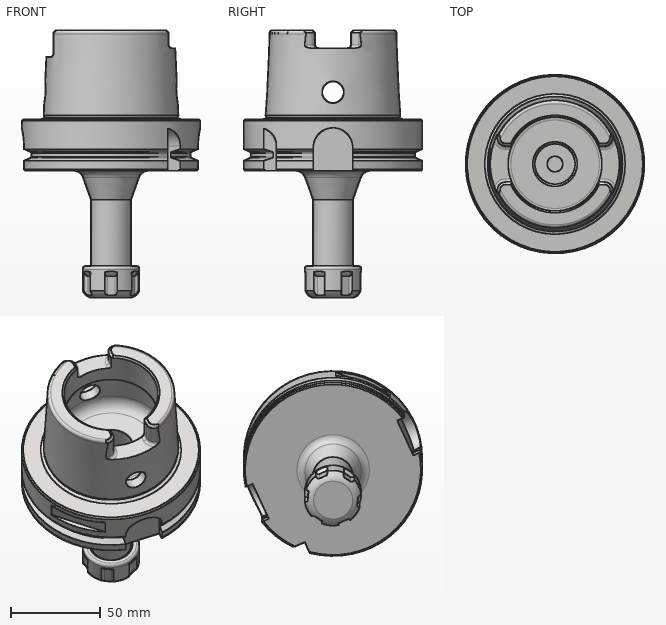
import cadquery as cq
import math


TAPER_TOP_Z = 50.0
OVERALL_LENGTH = 150.0
NOSE_Z = TAPER_TOP_Z - OVERALL_LENGTH

TAPER_SLOPE = 0.047
TAPER_BASE_RADIUS = 37.8
TAPER_BASE_Z = 2.2
TAPER_TOP_RADIUS = TAPER_BASE_RADIUS - TAPER_SLOPE * (TAPER_TOP_Z - TAPER_BASE_Z)
RIM_FILLET_WIDTH = 1.6
RIM_FILLET_HEIGHT = 2.0
UNDERCUT_RADIUS = 37.2
UNDERCUT_Z = 0.8
FOOT_RADIUS = 39.3

MOUTH_RADIUS = 26.2
MOUTH_CHAMFER = 1.0
CLAMP_RADIUS = 31.5
SHOULDER_Z = 30.0
SHOULDER_HEIGHT = (CLAMP_RADIUS - MOUTH_RADIUS) * math.tan(math.radians(30))
CAVITY_FLOOR_Z = 2.7
CAVITY_FILLET = 6.8
SOCKET_RADIUS = 12.5
SOCKET_SEAT_RADIUS = 11.2
SOCKET_DEPTH = 15.0
PILOT_RADIUS = 4.4
PILOT_DEPTH = 30.0

DRIVE_HALF_WIDTH = 10.0
DRIVE_CORNER_RADIUS = 4.5
DRIVE_FLOOR_FILLET = 1.8
DRIVE_EDGE_CHAMFER = 1.5
LUG_FACE_X = 32.2
DEEP_DRIVE_DEPTH = 15.0
SHALLOW_DRIVE_DEPTH = 10.0

CROSS_HOLE_RADIUS = 6.0
CROSS_HOLE_Z = 15.2

FLANGE_RADIUS = 50.02
FLANGE_HEIGHT = 29.0
FLANGE_CHAMFER = 0.9
GROOVE_ROOT_RADIUS = 46.0
GROOVE_ROOT_FILLET = 0.8
GROOVE_MID_Z = -20.0
GROOVE_MOUTH_WIDTH = 6.6
GROOVE_ROOT_WIDTH = 3.0

KEYWAY_HALF_WIDTH = 11.02
KEYWAY_FLOOR_X = 44.4
KEYWAY_TOP_Z = -4.8
NOTCH_FLOOR_X = 31.6
NOTCH_WALL_Y = -31.6
NOTCH_RADIUS = 10.0
CHIP_FLAT_DISTANCE = 47.2
CHIP_FLAT_WIDTH = 32.5
CHIP_FLAT_TOP_Z = -3.9
CHIP_FLAT_HEIGHT = 8.1

NECK_ROOT_RADIUS = 20.2
NECK_FILLET_END_RADIUS = 15.8
NECK_FILLET_HEIGHT = 3.5
SHANK_RADIUS = 11.2
SHANK_TOP_Z = -45.0

NUT_RADIUS = 15.9
NUT_HEIGHT = 18.0
NUT_TOP_FILLET = 1.8
NUT_FACE_RADIUS = 11.0
NUT_ROUND_HEIGHT = 4.0
NUT_ROUND_RADIUS = 7.5
NUT_BORE_CHAMFER = 0.9
NUT_SLOT_COUNT = 6
NUT_SLOT_WIDTH = 7.0
NUT_SLOT_FLOOR_RADIUS = 14.0
NUT_SLOT_FLOOR_FILLET = 1.5
NUT_SLOT_TOP_Z = NOSE_Z + 15.0
NUT_SLOT_RAMP = 2.8

CUT_REACH = 2 * FLANGE_RADIUS


def revolve(profile):
    """Turn a closed (radius, z) profile about the Z axis."""
    return profile.close().revolve(360, (0, 0, 0), (0, 1, 0))


def taper_and_flange():
    rim_end_radius = TAPER_TOP_RADIUS + TAPER_SLOPE * RIM_FILLET_HEIGHT
    bottom_z = -FLANGE_HEIGHT
    land_radius = FLANGE_RADIUS - FLANGE_CHAMFER
    mouth_half = GROOVE_MOUTH_WIDTH / 2
    root_half = GROOVE_ROOT_WIDTH / 2
    turned = revolve(
        cq.Workplane("XZ")
        .moveTo(0, TAPER_TOP_Z)
        .lineTo(TAPER_TOP_RADIUS - RIM_FILLET_WIDTH, TAPER_TOP_Z)
        .tangentArcPoint((rim_end_radius, TAPER_TOP_Z - RIM_FILLET_HEIGHT), relative=False)
        .lineTo(TAPER_BASE_RADIUS, TAPER_BASE_Z)
        .lineTo(UNDERCUT_RADIUS, UNDERCUT_Z)
        .lineTo(FOOT_RADIUS, 0)
        .lineTo(land_radius, 0)
        .lineTo(FLANGE_RADIUS, -FLANGE_CHAMFER)
        .lineTo(FLANGE_RADIUS, GROOVE_MID_Z + mouth_half)
        .lineTo(GROOVE_ROOT_RADIUS, GROOVE_MID_Z + root_half)
        .lineTo(GROOVE_ROOT_RADIUS, GROOVE_MID_Z - root_half)
        .lineTo(FLANGE_RADIUS, GROOVE_MID_Z - mouth_half)
        .lineTo(FLANGE_RADIUS, bottom_z + FLANGE_CHAMFER)
        .lineTo(land_radius, bottom_z)
        .lineTo(0, bottom_z)
    )
    root_edges = cq.selectors.BoxSelector(
        (-1.5, -1.5, GROOVE_MID_Z - GROOVE_ROOT_WIDTH), (1.5, 1.5, GROOVE_MID_Z + GROOVE_ROOT_WIDTH)
    )
    return turned.edges(root_edges).fillet(GROOVE_ROOT_FILLET)


def neck_and_shank():
    root_z = -FLANGE_HEIGHT
    shank_end_z = NOSE_Z + NUT_HEIGHT - NUT_BORE_CHAMFER
    return revolve(
        cq.Workplane("XZ")
        .moveTo(0, shank_end_z)
        .lineTo(SHANK_RADIUS, shank_end_z)
        .lineTo(SHANK_RADIUS, SHANK_TOP_Z)
        .lineTo(NECK_FILLET_END_RADIUS, root_z - NECK_FILLET_HEIGHT)
        .tangentArcPoint((NECK_ROOT_RADIUS, root_z), relative=False)
        .lineTo(0, root_z)
    )


def collet_nut():
    top_z = NOSE_Z + NUT_HEIGHT
    nut = revolve(
        cq.Workplane("XZ")
        .moveTo(0, top_z - NUT_BORE_CHAMFER)
        .lineTo(SHANK_RADIUS, top_z - NUT_BORE_CHAMFER)
        .lineTo(SHANK_RADIUS + NUT_BORE_CHAMFER, top_z)
        .lineTo(NUT_RADIUS - NUT_TOP_FILLET, top_z)
        .tangentArcPoint((NUT_RADIUS, top_z - NUT_TOP_FILLET), relative=False)
        .lineTo(NUT_RADIUS, NOSE_Z + NUT_ROUND_HEIGHT)
        .radiusArc((NUT_FACE_RADIUS, NOSE_Z), NUT_ROUND_RADIUS)
        .lineTo(0, NOSE_Z)
    )
    slot = nut_slot()
    for index in range(NUT_SLOT_COUNT):
        angle = -90 + index * 360 / NUT_SLOT_COUNT
        nut = nut.cut(slot.rotate((0, 0, 0), (0, 0, 1), angle))
    return nut


def nut_slot():
    """Wrench slot on the +X side, with rounded floor edges and a sloping upper end."""
    run = NUT_RADIUS - NUT_SLOT_FLOOR_RADIUS
    bottom_z = NOSE_Z - 1.5
    return (
        cq.Workplane("XZ")
        .moveTo(NUT_SLOT_FLOOR_RADIUS, bottom_z)
        .lineTo(NUT_SLOT_FLOOR_RADIUS, NUT_SLOT_TOP_Z - NUT_SLOT_RAMP)
        .lineTo(NUT_RADIUS, NUT_SLOT_TOP_Z)
        .lineTo(NUT_RADIUS + run, NUT_SLOT_TOP_Z)
        .lineTo(NUT_RADIUS + run, bottom_z)
        .close()
        .extrude(NUT_SLOT_WIDTH / 2, both=True)
        .faces("<X").edges("|Z").fillet(NUT_SLOT_FLOOR_FILLET)
    )


def cavity():
    """Mouth, clamping recess, socket and blind pilot hole, as one turned cutter."""
    seat_z = CAVITY_FLOOR_Z - SOCKET_DEPTH
    seat_chamfer = SOCKET_RADIUS - SOCKET_SEAT_RADIUS
    pilot_z = CAVITY_FLOOR_Z - PILOT_DEPTH
    return revolve(
        cq.Workplane("XZ")
        .moveTo(0, TAPER_TOP_Z)
        .lineTo(MOUTH_RADIUS + MOUTH_CHAMFER, TAPER_TOP_Z)
        .lineTo(MOUTH_RADIUS, TAPER_TOP_Z - MOUTH_CHAMFER)
        .lineTo(MOUTH_RADIUS, SHOULDER_Z)
        .lineTo(CLAMP_RADIUS, SHOULDER_Z - SHOULDER_HEIGHT)
        .lineTo(CLAMP_RADIUS, CAVITY_FLOOR_Z + CAVITY_FILLET)
        .tangentArcPoint((CLAMP_RADIUS - CAVITY_FILLET, CAVITY_FLOOR_Z), relative=False)
        .lineTo(SOCKET_RADIUS, CAVITY_FLOOR_Z)
        .lineTo(SOCKET_RADIUS, seat_z + seat_chamfer)
        .lineTo(SOCKET_SEAT_RADIUS, seat_z)
        .lineTo(PILOT_RADIUS, seat_z)
        .lineTo(PILOT_RADIUS, pilot_z)
        .lineTo(0, pilot_z)
    )


def drive_slot_outline(z):
    """Slot on the +X side that widens around rounded lug corners to the flat lug ends."""
    inner_x = MOUTH_RADIUS / 2
    corner_x = LUG_FACE_X - DRIVE_CORNER_RADIUS
    corner_y = DRIVE_HALF_WIDTH + DRIVE_CORNER_RADIUS
    wide_y = corner_y + 2 * DRIVE_CORNER_RADIUS
    return (
        cq.Workplane("XY", origin=(0, 0, z))
        .moveTo(inner_x, -DRIVE_HALF_WIDTH)
        .lineTo(corner_x, -DRIVE_HALF_WIDTH)
        .tangentArcPoint((LUG_FACE_X, -corner_y), relative=False)
        .lineTo(LUG_FACE_X, -wide_y)
        .lineTo(FLANGE_RADIUS, -wide_y)
        .lineTo(FLANGE_RADIUS, wide_y)
        .lineTo(LUG_FACE_X, wide_y)
        .lineTo(LUG_FACE_X, corner_y)
        .tangentArcPoint((corner_x, DRIVE_HALF_WIDTH), relative=False)
        .lineTo(inner_x, DRIVE_HALF_WIDTH)
        .close()
    )


def drive_slot(depth):
    """Slot cutter with a filleted floor and a flared top that chamfers the lug edges."""
    slot = drive_slot_outline(TAPER_TOP_Z - depth).extrude(depth)
    slot = slot.faces("<Z").edges().fillet(DRIVE_FLOOR_FILLET)
    flare = drive_slot_outline(TAPER_TOP_Z - DRIVE_EDGE_CHAMFER).extrude(DRIVE_EDGE_CHAMFER, taper=-45)
    return slot.union(flare)


def arched_slot(half_width, top_z, floor_x, center_y):
    """Slot along X, open downward and outward, with a half-round upper end."""
    spring_z = top_z - half_width
    foot_z = -FLANGE_HEIGHT
    return (
        cq.Workplane("YZ", origin=(floor_x, 0, 0))
        .moveTo(center_y - half_width, foot_z)
        .lineTo(center_y - half_width, spring_z)
        .threePointArc((center_y, top_z), (center_y + half_width, spring_z))
        .lineTo(center_y + half_width, foot_z)
        .close()
        .extrude(CUT_REACH)
    )


def chip_flat():
    """Rectangular flat facing halfway between -X and +Y."""
    flat = cq.Workplane("XY").box(
        CUT_REACH, CHIP_FLAT_WIDTH, CHIP_FLAT_HEIGHT, centered=(False, True, False)
    )
    flat = flat.translate((CHIP_FLAT_DISTANCE, 0, CHIP_FLAT_TOP_Z - CHIP_FLAT_HEIGHT))
    return flat.rotate((0, 0, 0), (0, 0, 1), 135)


def turned_around(cutter):
    return cutter.rotate((0, 0, 0), (0, 0, 1), 180)


body = taper_and_flange().cut(cavity())
body = body.cut(drive_slot(SHALLOW_DRIVE_DEPTH))
body = body.cut(turned_around(drive_slot(DEEP_DRIVE_DEPTH)))
cross_hole = (
    cq.Workplane("YZ", origin=(0, 0, CROSS_HOLE_Z))
    .circle(CROSS_HOLE_RADIUS)
    .extrude(CUT_REACH, both=True)
)
body = body.cut(cross_hole)

keyway = arched_slot(KEYWAY_HALF_WIDTH, KEYWAY_TOP_Z, KEYWAY_FLOOR_X, 0)
body = body.cut(keyway).cut(turned_around(keyway))
notch_center_y = NOTCH_WALL_Y - NOTCH_RADIUS
body = body.cut(arched_slot(NOTCH_RADIUS, KEYWAY_TOP_Z, NOTCH_FLOOR_X, notch_center_y))
body = body.cut(chip_flat())

result = body.union(neck_and_shank()).union(collet_nut())